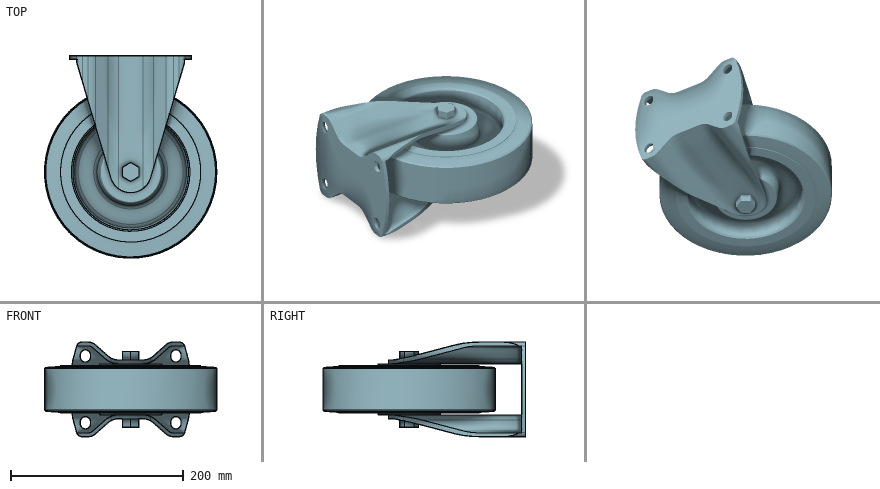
import cadquery as cq
import math


wheel_radius = 100.0
tread_inner_radius = 162.5 / 2
tread_edge_half_width = 25.5
tread_inner_half_width = 26.7
tread_chamfer = 1.5
rim_half_width = 27.5
rim_mouth_radius = 68.8
rim_chamfer = 1.7
recess_floor_radius = 64.4
web_half_width = 6.0
hub_half_length = 29.5
hub_tip_radius = 36.2
hub_base_radius = 39.4
hub_tip_fillet = 1.0
recess_fillet = 4.0

axle_diameter = 20.0
hex_across_flats = 19.0
bolt_half_length = 44.0

sheet = 4.5
plate_y = 135.0
plate_half_width = 70.8
plate_half_height = 55.0
plate_edge_radius = 160.0
plate_corner_radius = 7.0
waist_half_height = 34.2
waist_flat_half_width = 14.3
waist_bend_radius = 18.0
crest_bend_radius = 13.0
bend_angle = 41.5
leg_tip_radius = 24.0
leg_taper_angle = 16.5

slot_x = 105.0 / 2
slot_z_inner = 37.5
slot_z_outer = 40.0
slot_width = 11.5


def polar(center, radius, degrees):
    """Point at the given angle on a circle."""
    angle = math.radians(degrees)
    return (center[0] + radius * math.cos(angle), center[1] + radius * math.sin(angle))


def add_arc(path, center, radius, start, end):
    """Continue a path along a circular arc that starts at its current point."""
    return path.threePointArc(polar(center, radius, (start + end) / 2), polar(center, radius, end))


bend = math.radians(bend_angle)
bend_radii = waist_bend_radius + crest_bend_radius
slope_height = plate_half_height - waist_half_height - bend_radii * (1 - math.cos(bend))
crest_x = waist_flat_half_width + bend_radii * math.sin(bend) + slope_height / math.tan(bend)
waist_center = (waist_flat_half_width, waist_half_height + waist_bend_radius)
crest_center = (crest_x, plate_half_height - crest_bend_radius)


def start_section(depth):
    """Leg section from the middle to the crest, set in from the outer face by depth."""
    path = cq.Workplane("XZ").lineTo(0, waist_half_height - depth)
    path = path.lineTo(waist_flat_half_width, waist_half_height - depth)
    path = add_arc(path, waist_center, waist_bend_radius + depth, -90, -90 + bend_angle)
    path = path.lineTo(*polar(crest_center, crest_bend_radius - depth, 90 + bend_angle))
    return add_arc(path, crest_center, crest_bend_radius - depth, 90 + bend_angle, 90)


def mirror_quadrant(quadrant):
    """Complete a first-quadrant body across both planes of symmetry."""
    half = quadrant.union(quadrant.mirror("YZ"))
    return half.union(half.mirror("XY")).clean()


def fork_blank():
    """Solid bar with the outer outline of the mounting plate."""
    edge_center = (plate_half_width - plate_edge_radius, 0)
    corner_z = plate_half_height - plate_corner_radius
    edge_angle = math.degrees(math.asin(corner_z / (plate_edge_radius - plate_corner_radius)))
    corner_center = polar(edge_center, plate_edge_radius - plate_corner_radius, edge_angle)
    path = start_section(0).lineTo(corner_center[0], plate_half_height)
    path = add_arc(path, corner_center, plate_corner_radius, 90, edge_angle)
    path = add_arc(path, edge_center, plate_edge_radius, edge_angle, 0)
    quadrant = path.close().extrude(-plate_y - leg_tip_radius)
    return mirror_quadrant(quadrant).translate((0, -leg_tip_radius, 0))


def fork_inside():
    """Space between the two legs, open at both sides and closed by the plate."""
    path = start_section(sheet)
    path = path.lineTo(plate_half_width, plate_half_height - sheet).lineTo(plate_half_width, 0)
    quadrant = path.close().extrude(-plate_y + sheet - leg_tip_radius)
    return mirror_quadrant(quadrant).translate((0, -leg_tip_radius, 0))


def leg_trim():
    """Tapered leg outline with a round tip about the axle, plus the full-width plate."""
    taper = math.radians(leg_taper_angle)
    tangent_x, tangent_y = polar((0, 0), leg_tip_radius, -leg_taper_angle)
    top_x = tangent_x + (plate_y - tangent_y) * math.tan(taper)
    legs = (
        cq.Workplane("XY")
        .moveTo(-top_x, plate_y)
        .lineTo(-tangent_x, tangent_y)
        .threePointArc((0, -leg_tip_radius), (tangent_x, tangent_y))
        .lineTo(top_x, plate_y)
        .close()
        .extrude(plate_half_height, both=True)
    )
    plate = cq.Workplane("XY").box(2 * plate_half_width, sheet, 2 * plate_half_height)
    return legs.union(plate.translate((0, plate_y - sheet / 2, 0)))


def mounting_slots():
    """Four upright slots through the plate."""
    slot_length = slot_z_outer - slot_z_inner + slot_width
    slot_z = (slot_z_inner + slot_z_outer) / 2
    centers = [(x, z) for x in (-slot_x, slot_x) for z in (-slot_z, slot_z)]
    slots = cq.Workplane("XZ").pushPoints(centers).slot2D(slot_length, slot_width, 90).extrude(-sheet)
    return slots.translate((0, plate_y - sheet, 0))


def fork():
    return fork_blank().cut(fork_inside()).intersect(leg_trim()).cut(mounting_slots())


def wheel():
    """Tread, rim, web and hub, turned about Z from one symmetric section."""
    upper_profile = [
        (wheel_radius, tread_edge_half_width - tread_chamfer),
        (wheel_radius - tread_chamfer, tread_edge_half_width),
        (tread_inner_radius, tread_inner_half_width),
        (tread_inner_radius, rim_half_width),
        (rim_mouth_radius, rim_half_width),
        (rim_mouth_radius - rim_chamfer, rim_half_width - rim_chamfer),
        (recess_floor_radius, web_half_width),
        (hub_base_radius, web_half_width),
        (hub_tip_radius, hub_half_length),
        (0, hub_half_length),
    ]
    lower_profile = [(radius, -z) for radius, z in reversed(upper_profile)]
    section = cq.Workplane("XZ").polyline(upper_profile + lower_profile).close()
    body = section.revolve(360, (0, 0, 0), (0, 1, 0))
    floor_search = web_half_width / 2
    for floor_z in (-web_half_width, web_half_width):
        floor_level = cq.selectors.BoxSelector(
            (-wheel_radius, -wheel_radius, floor_z - floor_search),
            (wheel_radius, wheel_radius, floor_z + floor_search),
            boundingbox=True,
        )
        body = body.edges(floor_level).fillet(recess_fillet)
    return body.faces("<Z or >Z").edges().fillet(hub_tip_fillet)


def axle():
    """Round axle through wheel and fork, with a hexagon head outside each leg."""
    shaft = cq.Workplane("XY").circle(axle_diameter / 2).extrude(waist_half_height, both=True)
    head_height = bolt_half_length - waist_half_height
    head_circle = hex_across_flats / math.cos(math.pi / 6)
    head = cq.Workplane("XY").polygon(6, head_circle).extrude(head_height)
    head = head.rotate((0, 0, 0), (0, 0, 1), 30).translate((0, 0, waist_half_height))
    return shaft.union(head).union(head.mirror("XY"))


result = fork().union(wheel()).union(axle())